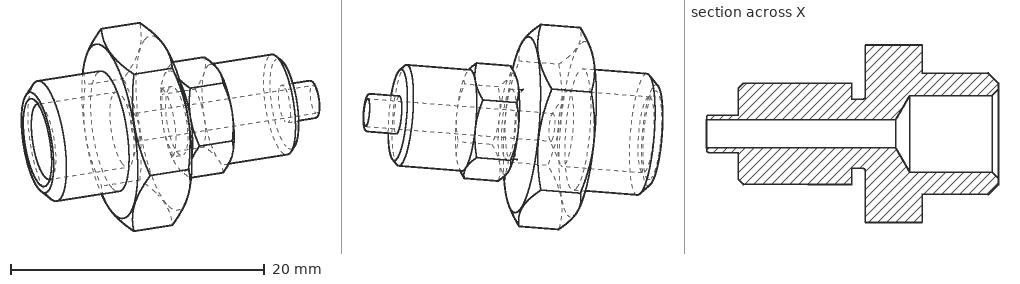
import cadquery as cq
import math


collar_length = 6.0
large_hex_length = 4.5
neck_length = 1.05
small_hex_length = 3.45
sleeve_length = 5.5
stub_length = 2.5

collar_diameter = 9.6
large_hex_flats = 14.0
neck_diameter = 5.5
small_hex_flats = 8.0
sleeve_diameter = small_hex_flats
stub_diameter = 3.0

collar_chamfer = 0.8
sleeve_chamfer = 0.4
stub_rounding = 0.2
neck_fillet = 0.2
half_corner_angle = 30.0
hex_chamfer_angle = 30.0
large_hex_land_diameter = 13.9
small_hex_land_diameter = small_hex_flats

bore_diameter = 6.0
bore_depth = 7.0
bore_mouth_diameter = 7.0
mouth_chamfer_angle = 45.0
through_hole_diameter = 2.2
drill_point_angle = 120.0

collar_start = 0.0
large_hex_start = collar_start + collar_length
neck_start = large_hex_start + large_hex_length
small_hex_start = neck_start + neck_length
sleeve_start = small_hex_start + small_hex_length
stub_start = sleeve_start + sleeve_length
stub_end = stub_start + stub_length


def revolve_about_y(profile):
    """Turn a closed XY profile a full revolution about the Y axis."""
    return profile.close().revolve(360, (0, 0, 0), (0, 1, 0))


def cylinder(diameter, start, length):
    """Solid cylinder on the Y axis, growing toward +Y from start."""
    return cq.Workplane("XZ", origin=(0, start, 0)).circle(diameter / 2).extrude(-length)


def hexagon(flats, land_diameter, start, length):
    """Hexagonal prism with corners on the X axis and both ends chamfered by a cone."""
    corner_diameter = flats / math.cos(math.radians(half_corner_angle))
    prism = cq.Workplane("XZ", origin=(0, start, 0)).polygon(6, corner_diameter).extrude(-length)

    land_radius = land_diameter / 2
    cone_radius = corner_diameter / 2
    cone_height = (cone_radius - land_radius) * math.tan(math.radians(hex_chamfer_angle))
    end = start + length
    envelope = revolve_about_y(
        cq.Workplane("XY")
        .moveTo(0, start)
        .lineTo(land_radius, start)
        .lineTo(cone_radius, start + cone_height)
        .lineTo(cone_radius, end - cone_height)
        .lineTo(land_radius, end)
        .lineTo(0, end)
    )
    return prism.intersect(envelope)


def collar():
    """Cylindrical collar with a chamfered mouth end."""
    body = cylinder(collar_diameter, collar_start, collar_length)
    return body.faces("<Y").edges().chamfer(collar_chamfer)


def neck():
    """Neck between the hexagons, flared by a fillet where it leaves the large one."""
    radius = neck_diameter / 2
    center_radius = radius + neck_fillet
    center_y = neck_start + neck_fillet
    diagonal = neck_fillet * math.sqrt(0.5)
    return revolve_about_y(
        cq.Workplane("XY")
        .moveTo(0, neck_start)
        .lineTo(center_radius, neck_start)
        .threePointArc((center_radius - diagonal, center_y - diagonal), (radius, center_y))
        .lineTo(radius, small_hex_start)
        .lineTo(0, small_hex_start)
    )


def sleeve():
    """Cylindrical end beyond the small hexagon, chamfered toward the tube stub."""
    body = cylinder(sleeve_diameter, sleeve_start, sleeve_length)
    return body.faces(">Y").edges().chamfer(sleeve_chamfer)


def stub():
    """Tube stub with a rounded outer end edge."""
    body = cylinder(stub_diameter, stub_start, stub_length)
    return body.faces(">Y").edges().fillet(stub_rounding)


def bore():
    """Chamfered blind bore with a conical bottom, continued by a small through hole."""
    bore_radius = bore_diameter / 2
    mouth_radius = bore_mouth_diameter / 2
    hole_radius = through_hole_diameter / 2
    mouth_depth = (mouth_radius - bore_radius) / math.tan(math.radians(mouth_chamfer_angle))
    cone_depth = (bore_radius - hole_radius) / math.tan(math.radians(drill_point_angle / 2))
    bore_end = collar_start + bore_depth
    return revolve_about_y(
        cq.Workplane("XY")
        .moveTo(0, collar_start)
        .lineTo(mouth_radius, collar_start)
        .lineTo(bore_radius, collar_start + mouth_depth)
        .lineTo(bore_radius, bore_end)
        .lineTo(hole_radius, bore_end + cone_depth)
        .lineTo(hole_radius, stub_end)
        .lineTo(0, stub_end)
    )


outside = (
    collar()
    .union(hexagon(large_hex_flats, large_hex_land_diameter, large_hex_start, large_hex_length))
    .union(neck())
    .union(hexagon(small_hex_flats, small_hex_land_diameter, small_hex_start, small_hex_length))
    .union(sleeve())
    .union(stub())
)
result = outside.cut(bore())